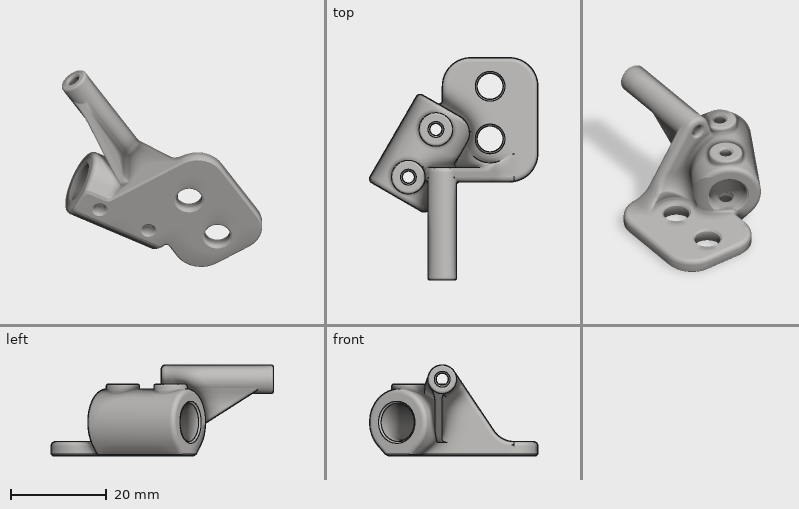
import cadquery as cq
import math


plate_width = 20.0
plate_depth = 26.0
plate_thickness = 3.0
plate_corner_radius = 6.0
plate_hole_diameter = 5.4
plate_hole_x = plate_width / 2
plate_hole_pitch = 11.0
rear_hole_y = plate_depth - plate_corner_radius
front_hole_y = rear_hole_y - plate_hole_pitch

edge_radius = 1.0
blend_radius = 1.0
base_chamfer = 0.4
hole_chamfer = 0.4
small_hole_diameter = 2.5

pin_radius = 3.0
pin_z = 16.0
pin_front_y = -20.5
pin_tip_radius = 0.5
pin_top_z = pin_z + pin_radius

web_thickness = 3.0
web_sweep_radius = 5.0
web_foot_depth = web_thickness + web_sweep_radius
web_sweep_z = plate_thickness + web_sweep_radius
web_toe_x = 15.0
web_left_z = 8.0
web_left_angle = math.asin(1 / 3)

pocket_radius = 5.0
pocket_left_slope = math.radians(45)
pocket_right_slope = math.radians(20)
pocket_floor_radius = 0.4
pocket_rim_radius = 0.5

gusset_left_x = -1.5
gusset_right_x = 0.0
gusset_left_radius = 6.6
gusset_edge_radius = 0.5
gusset_front_y = -16.0
gusset_foot_z = 2.8
gusset_back_y = web_thickness / 2
gusset_overlap = 0.03

barrel_x = -4.2
barrel_y = 6.0
barrel_turn = 30.0
barrel_radius = 7.0
barrel_length = 21.2
barrel_corner_radius = 4.0
barrel_blend_radius = 0.7
bore_diameter = 8.0
bore_floor_z = barrel_radius - bore_diameter / 2

boss_diameter = 7.0
boss_top_z = 15.0
boss_spacing = 11.5
boss_offsets = (-boss_spacing / 2, boss_spacing / 2)
boss_blend_radius = 0.3
boss_edge_radius = 0.5

slack = 0.01


def polar(center, radius, angle):
    """Point at a distance and angle from a center."""
    return (center[0] + radius * math.cos(angle), center[1] + radius * math.sin(angle))


def xz_prism(outline, y_min, y_max):
    """Extrude a closed XZ outline from y_min to y_max."""
    return outline.extrude(y_max - y_min).translate((0, y_max, 0))


def edges_inside(body, low, high, kind=None):
    """Edges of one kind that lie wholly inside the box between two corners."""
    low = tuple(value - slack for value in low)
    high = tuple(value + slack for value in high)
    return body.edges(kind).edges(cq.selectors.BoxSelector(low, high, boundingbox=True))


def fillet_edges(body, edges, radius):
    return body.newObject(edges.vals()).fillet(radius)


def make_plate():
    plate = cq.Workplane("XY").rect(plate_width, plate_depth, centered=False).extrude(plate_thickness)
    plate = plate.edges("|Z").edges(">X or >Y").fillet(plate_corner_radius)
    return plate.faces(">Z").edges().fillet(edge_radius)


def make_pocket():
    """Clearance round the front plate hole: an arc with a straight wall on each side."""
    center = (plate_hole_x, front_hole_y)
    left_angle = -math.pi / 2 - pocket_left_slope
    right_angle = -math.pi / 2 + pocket_right_slope
    left_start = polar(center, pocket_radius, left_angle)
    right_start = polar(center, pocket_radius, right_angle)
    left_end = polar(left_start, plate_width, math.pi - pocket_left_slope)
    right_end = polar(right_start, plate_width, pocket_right_slope)
    pocket = (
        cq.Workplane("XY", origin=(0, 0, plate_thickness))
        .moveTo(*left_end)
        .lineTo(*left_start)
        .threePointArc(polar(center, pocket_radius, (left_angle + right_angle) / 2), right_start)
        .lineTo(*right_end)
        .lineTo(right_end[0], left_end[1])
        .close()
        .extrude(pin_z)
    )
    return pocket.faces("<Z").edges().fillet(pocket_floor_radius)


def web_front_outline():
    """XZ outline: round the pin, down a tangent slope, then a concave sweep onto the plate."""
    pin_center = (0, pin_z)
    sweep_center = (web_toe_x, web_sweep_z)
    drop = pin_z - web_sweep_z
    center_distance = math.hypot(web_toe_x, drop)
    slope = math.atan2(drop, web_toe_x) + math.asin((pin_radius + web_sweep_radius) / center_distance)
    slope_normal = math.pi / 2 - slope
    sweep_start_angle = slope_normal + math.pi
    sweep_end_angle = 3 * math.pi / 2
    left_tangent = polar(pin_center, pin_radius, math.pi - web_left_angle)
    left_x = left_tangent[0] - (left_tangent[1] - web_left_z) * math.tan(web_left_angle)
    return (
        cq.Workplane("XZ")
        .moveTo(left_x, 0)
        .lineTo(left_x, web_left_z)
        .lineTo(*left_tangent)
        .threePointArc((0, pin_top_z), polar(pin_center, pin_radius, slope_normal))
        .lineTo(*polar(sweep_center, web_sweep_radius, sweep_start_angle))
        .threePointArc(
            polar(sweep_center, web_sweep_radius, (sweep_start_angle + sweep_end_angle) / 2),
            (web_toe_x, plate_thickness),
        )
        .lineTo(web_toe_x, 0)
        .close()
    )


def web_side_prism():
    """Constant-thickness wall with a concave sweep from its back onto the plate."""
    sweep_center = (web_foot_depth, web_sweep_z)
    return (
        cq.Workplane("YZ")
        .lineTo(web_foot_depth, 0)
        .lineTo(web_foot_depth, plate_thickness)
        .threePointArc(
            polar(sweep_center, web_sweep_radius, 5 * math.pi / 4),
            (web_thickness, web_sweep_z),
        )
        .lineTo(web_thickness, pin_top_z)
        .lineTo(0, pin_top_z)
        .close()
        .extrude(plate_width, both=True)
    )


def make_web():
    web = xz_prism(web_front_outline(), 0, web_foot_depth).intersect(web_side_prism())

    front_edges = edges_inside(web, (edge_radius, 0, plate_thickness), (web_toe_x, 0, pin_top_z))
    web = fillet_edges(web, front_edges, edge_radius)
    back_edges = edges_inside(
        web, (-pin_radius, web_thickness, plate_thickness), (web_toe_x, web_foot_depth, pin_top_z)
    )
    web = fillet_edges(web, back_edges, edge_radius)

    limit = cq.Workplane("XY").rect(2 * plate_width, plate_depth).extrude(pin_top_z)
    limit = limit.edges("|Z").edges(">X and <Y").fillet(plate_corner_radius)
    web = web.intersect(limit.translate((0, plate_depth / 2, 0))).cut(make_pocket())

    rim = edges_inside(
        web,
        (0, web_thickness, plate_thickness + pocket_floor_radius),
        (web_toe_x, web_foot_depth, pin_top_z),
        "%BSPLINE",
    )
    return fillet_edges(web, rim, pocket_rim_radius)


def make_pin():
    length = web_thickness - pin_front_y
    pin = cq.Workplane("XZ", origin=(0, web_thickness, pin_z)).circle(pin_radius).extrude(length)
    pin = pin.faces("<Y").edges().fillet(pin_tip_radius)
    return pin.faces(">Y").edges().fillet(edge_radius)


def make_arm():
    """Web and pin, blended where the pin leaves the front of the web."""
    arm = make_web().union(make_pin())
    ring = edges_inside(
        arm, (-pin_radius, 0, pin_z - pin_radius), (pin_radius, gusset_back_y, pin_z), "%CIRCLE or %BSPLINE"
    )
    return fillet_edges(arm, ring, blend_radius)


def gusset_section():
    """XZ outline of a thin rib that flares into the pin with an arc on each side."""
    pin_center = (0, pin_z)
    contact_radius = pin_radius - gusset_overlap
    left_reach = contact_radius + gusset_left_radius
    left_angle = -math.acos((gusset_left_x - gusset_left_radius) / left_reach)
    left_center = polar(pin_center, left_reach, left_angle)
    right_reach = contact_radius + blend_radius
    right_angle = -math.acos((gusset_right_x + blend_radius) / right_reach)
    right_center = polar(pin_center, right_reach, right_angle)
    return (
        cq.Workplane("XZ")
        .moveTo(gusset_left_x, 0)
        .lineTo(gusset_left_x, left_center[1])
        .threePointArc(
            polar(left_center, gusset_left_radius, (left_angle + math.pi) / 2),
            polar(pin_center, contact_radius, left_angle),
        )
        .lineTo(*pin_center)
        .lineTo(*polar(pin_center, contact_radius, right_angle))
        .threePointArc(
            polar(right_center, blend_radius, right_angle / 2 + math.pi),
            (gusset_right_x, right_center[1]),
        )
        .lineTo(gusset_right_x, 0)
        .close()
    )


def gusset_root():
    """Upright blend between the right face of the gusset and the front of the web."""
    inner_x = (gusset_left_x + gusset_right_x) / 2
    outer_x = gusset_right_x + blend_radius
    return (
        cq.Workplane("XY")
        .moveTo(inner_x, gusset_back_y)
        .lineTo(inner_x, -blend_radius)
        .lineTo(gusset_right_x, -blend_radius)
        .threePointArc(polar((outer_x, -blend_radius), blend_radius, 3 * math.pi / 4), (outer_x, 0))
        .lineTo(outer_x, gusset_back_y)
        .close()
        .extrude(pin_z - pin_radius / 2)
    )


def make_gusset():
    slope = (pin_z - pin_radius - gusset_foot_z) / -gusset_front_y
    axis_y = (gusset_foot_z - pin_z) / slope
    side = (
        cq.Workplane("YZ")
        .moveTo(gusset_back_y, gusset_foot_z)
        .lineTo(0, gusset_foot_z)
        .lineTo(axis_y, pin_z)
        .lineTo(gusset_back_y, pin_z)
        .close()
        .extrude(plate_width, both=True)
    )
    gusset = xz_prism(gusset_section(), pin_front_y, web_thickness).union(gusset_root()).intersect(side)
    left_edges = edges_inside(
        gusset, (-pin_radius, pin_front_y, gusset_foot_z), (gusset_left_x, 0, pin_z)
    ).edges("not (|Z or |Y)")
    return fillet_edges(gusset, left_edges, gusset_edge_radius)


def place_barrel(shape):
    """Move a shape modelled along Y onto the turned barrel axis."""
    return shape.rotate((0, 0, 0), (0, 0, 1), -barrel_turn).translate((barrel_x, barrel_y, 0))


def make_barrel():
    """Round body whose 45 degree flanks run down to a flat base."""
    flank_x = barrel_radius * math.sin(math.pi / 4)
    flank_z = barrel_radius - flank_x
    flat_x = flank_x - flank_z
    outline = (
        cq.Workplane("XZ")
        .moveTo(flat_x, 0)
        .lineTo(flank_x, flank_z)
        .threePointArc((0, 2 * barrel_radius), (-flank_x, flank_z))
        .lineTo(-flat_x, 0)
        .close()
    )
    barrel = xz_prism(outline, -barrel_length / 2, barrel_length / 2)
    barrel = barrel.faces("<Y or >Y").edges("not <Z").fillet(edge_radius)
    plan = cq.Workplane("XY").rect(2 * barrel_radius, barrel_length).extrude(2 * barrel_radius)
    barrel = barrel.intersect(plan.edges("|Z").edges(">X and >Y").fillet(barrel_corner_radius))
    return place_barrel(barrel)


def make_bosses():
    """Bosses with flared feet, trimmed to the outside of the barrel."""
    posts = (
        cq.Workplane("XY", origin=(0, 0, barrel_radius + bore_diameter / 2))
        .pushPoints([(0, offset) for offset in boss_offsets])
        .circle(boss_diameter / 2)
        .extrude(boss_top_z - barrel_radius - bore_diameter / 2)
    )
    posts = posts.faces(">Z").edges().fillet(boss_edge_radius)
    barrel = make_barrel()
    barrel_top_z = 2 * barrel_radius
    bossed = barrel.union(place_barrel(posts))
    feet = edges_inside(
        bossed,
        (-plate_width, -plate_width, barrel_top_z - edge_radius),
        (plate_width, plate_width, barrel_top_z),
        "%BSPLINE",
    )
    return fillet_edges(bossed, feet, boss_blend_radius).cut(barrel)


def make_body():
    """Plate, barrel and arm with blended joints and a chamfered base, plus gusset and bosses."""
    body = make_plate().union(make_barrel()).union(make_arm())

    web_seam = edges_inside(body, (-barrel_radius, 0, 0), (pin_radius, 0, pin_z - pin_radius))
    body = fillet_edges(body, web_seam.edges("<X or %ELLIPSE"), barrel_blend_radius)

    plate_seam = edges_inside(
        body,
        (edge_radius, front_hole_y, plate_thickness),
        (plate_hole_x / 2, rear_hole_y - edge_radius, plate_thickness),
        "%LINE",
    ).edges(">Y")
    body = fillet_edges(body, plate_seam, barrel_blend_radius)

    body = body.faces("<Z").edges().chamfer(base_chamfer)
    return body.union(make_gusset()).union(make_bosses())


def hole_tool(diameter, length):
    """Hole along +Z from the origin, chamfered at both ends."""
    radius = diameter / 2
    mouth_radius = radius + hole_chamfer
    outline = [
        (0, 0),
        (mouth_radius, 0),
        (radius, hole_chamfer),
        (radius, length - hole_chamfer),
        (mouth_radius, length),
        (0, length),
    ]
    return cq.Workplane("XZ").polyline(outline).close().revolve(360, (0, 0), (0, 1))


def along_y(tool, start_y, z):
    """Turn a tool modelled along +Z so that it runs along +Y."""
    return tool.rotate((0, 0, 0), (1, 0, 0), -90).translate((0, start_y, z))


def cut_holes(body):
    plate_hole = hole_tool(plate_hole_diameter, plate_thickness)
    for hole_y in (front_hole_y, rear_hole_y):
        body = body.cut(plate_hole.translate((plate_hole_x, hole_y, 0)))

    bore = along_y(hole_tool(bore_diameter, barrel_length), -barrel_length / 2, barrel_radius)
    body = body.cut(place_barrel(bore))

    boss_hole = hole_tool(small_hole_diameter, boss_top_z)
    floor_hole = hole_tool(small_hole_diameter, bore_floor_z)
    floor_mouth = (
        cq.Workplane("XY", origin=(0, 0, bore_floor_z))
        .circle(small_hole_diameter / 2 + hole_chamfer)
        .extrude(bore_diameter / 2)
    )
    for offset in boss_offsets:
        for tool in (boss_hole, floor_hole, floor_mouth):
            body = body.cut(place_barrel(tool.translate((0, offset, 0))))

    pin_hole = hole_tool(small_hole_diameter, web_thickness - pin_front_y)
    return body.cut(along_y(pin_hole, pin_front_y, pin_z))


result = cut_holes(make_body())